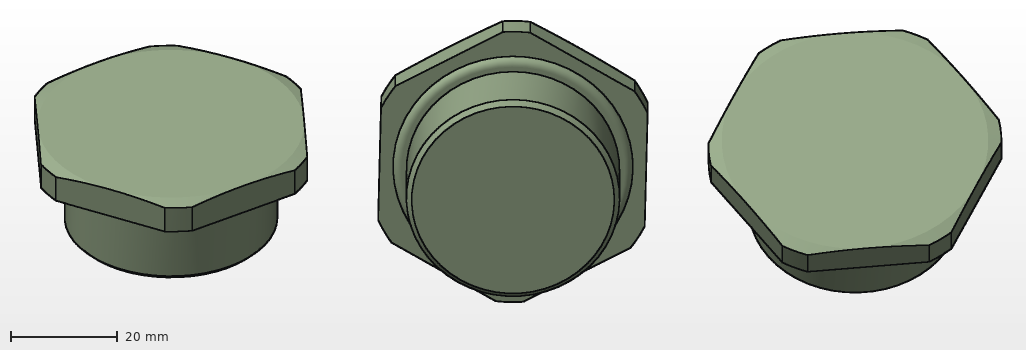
import cadquery as cq
import math

total_height = 22.0
across_flats = 50.0
across_corners = 55.0

head_height = 6.0
head_chamfer_angle = 15.0
head_bottom = total_height - head_height

shank_diameter = 40.0
shank_chamfer = 1.0

ring_diameter = 45.0
ring_height = 1.5


def make_head():
    """Hexagon with its corners turned round and its top edge coned."""
    sharp_corner_diameter = across_flats / math.cos(math.pi / 6)
    hexagon = (
        cq.Workplane("XY", origin=(0, 0, head_bottom))
        .polygon(6, sharp_corner_diameter)
        .extrude(head_height)
        .rotate((0, 0, 0), (0, 0, 1), 30)
    )
    flat_radius = across_flats / 2
    corner_radius = across_corners / 2
    cone_drop = (corner_radius - flat_radius) * math.tan(math.radians(head_chamfer_angle))
    turned_blank = (
        cq.Workplane("XZ")
        .moveTo(0, head_bottom)
        .lineTo(corner_radius, head_bottom)
        .lineTo(corner_radius, total_height - cone_drop)
        .lineTo(flat_radius, total_height)
        .lineTo(0, total_height)
        .close()
        .revolve(360, (0, 0, 0), (0, 1, 0))
    )
    return hexagon.intersect(turned_blank)


def make_shank():
    """Round shank with a chamfered lower end."""
    return (
        cq.Workplane("XY")
        .circle(shank_diameter / 2)
        .extrude(head_bottom)
        .faces("<Z")
        .chamfer(shank_chamfer)
    )


def make_sealing_ring():
    """Ring around the shank whose outer side is one quarter round, full height."""
    inner_radius = shank_diameter / 2
    outer_radius = ring_diameter / 2
    ring_bottom = head_bottom - ring_height
    return (
        cq.Workplane("XZ")
        .moveTo(inner_radius, head_bottom)
        .lineTo(inner_radius, ring_bottom)
        .lineTo(outer_radius - ring_height, ring_bottom)
        .radiusArc((outer_radius, head_bottom), -ring_height)
        .close()
        .revolve(360, (0, 0, 0), (0, 1, 0))
    )


plug = make_head().union(make_shank())
sealing_ring = make_sealing_ring()

result = cq.Compound.makeCompound([plug.val(), sealing_ring.val()])